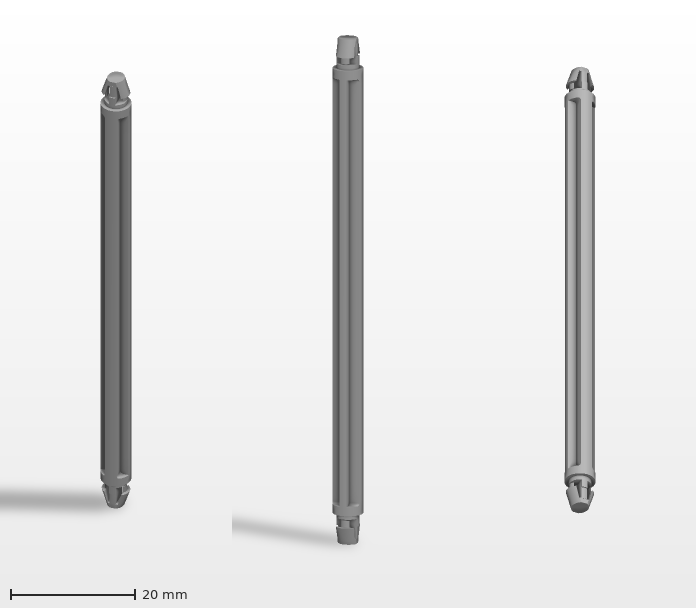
import cadquery as cq
import math

total_length = 84.0
body_length = 74.0
body_diameter = 5.0
head_length = (total_length - body_length) / 2

collar_length = 1.5
web_x_thickness = 1.2
web_y_thickness = 2.0
pocket_end_radius = 0.45

neck_diameter = 3.7
neck_length = 0.75
leg_gap = 0.25
barb_height = 2.1
barb_span = 4.7
arm_diameter = 3.7
tip_width = 3.1
arm_tilt = 18.0
tip_thickness = 0.85
leg_span = 3.7
leg_diameter = 1.7
post_thickness = 1.0
post_diameter = 3.25
slot_half_width = 1.45
slot_half_width_at_tip = 0.9


def cylinder(diameter, bottom, height):
    return cq.Workplane("XY").workplane(offset=bottom).circle(diameter / 2).extrude(height)


def block(x_size, y_size, bottom, height):
    return cq.Workplane("XY").workplane(offset=bottom).rect(x_size, y_size).extrude(height)


def corner_pocket(x_side, y_side):
    """Corner removed beside the webs; its ends are rounded into the web that reaches along Y."""
    size = body_diameter
    pocket_length = body_length - 2 * collar_length
    pocket = block(size, size, -pocket_length / 2, pocket_length)
    pocket = pocket.edges("|Y").fillet(pocket_end_radius)
    outer_part = block(size, size, -pocket_length / 2, pocket_length).translate((size / 2, 0, 0))
    pocket = pocket.union(outer_part)
    x_centre = (web_y_thickness + size) / 2
    y_centre = (web_x_thickness + size) / 2
    pocket = pocket.translate((x_centre, y_centre, 0))
    if x_side < 0:
        pocket = pocket.mirror("YZ")
    if y_side < 0:
        pocket = pocket.mirror("XZ")
    return pocket


def shaft():
    body = cylinder(body_diameter, -body_length / 2, body_length)
    for x_side in (-1, 1):
        for y_side in (-1, 1):
            body = body.cut(corner_pocket(x_side, y_side))
    return body


def tip_half(x_side):
    """Half of the tip with its barb: a round bar that leans outward on its way down."""
    tilt = math.radians(arm_tilt)
    height = head_length - barb_height
    barb_x = barb_span / 2 - arm_diameter / 2 / math.cos(tilt)
    bar = (
        cylinder(arm_diameter, -head_length, 2 * head_length)
        .rotate((0, 0, 0), (0, 1, 0), -x_side * arm_tilt)
        .translate((x_side * barb_x, 0, barb_height))
    )
    own_side = block(barb_span, tip_width, barb_height, height)
    return bar.intersect(own_side.translate((x_side * barb_span / 2, 0, 0)))


def legs():
    """Two slim legs that hang below the barbs and end just short of the neck."""
    bottom = neck_length + leg_gap
    centre_x = (leg_span - leg_diameter) / 2
    leg = cylinder(leg_diameter, bottom, barb_height - bottom)
    return leg.translate((centre_x, 0, 0)).union(leg.translate((-centre_x, 0, 0)))


def arm_slot():
    """Opening between the arms, closed at the top by the tip."""
    slot_top = head_length - tip_thickness
    return (
        cq.Workplane("XZ")
        .moveTo(-slot_half_width, 0)
        .lineTo(-slot_half_width, barb_height)
        .lineTo(-slot_half_width_at_tip, slot_top)
        .lineTo(slot_half_width_at_tip, slot_top)
        .lineTo(slot_half_width, barb_height)
        .lineTo(slot_half_width, 0)
        .close()
        .extrude(body_diameter / 2, both=True)
    )


def centre_post():
    """Flat post with rounded faces from the neck up to the tip, slimmer above the barbs."""
    post_height = head_length - tip_thickness
    lower = cylinder(neck_diameter, 0, barb_height)
    upper = cylinder(post_diameter, barb_height, post_height - barb_height)
    return lower.union(upper).intersect(block(post_thickness, neck_diameter, 0, post_height))


def snap_head():
    """Head standing on the XY plane, pointing up."""
    arms = tip_half(1).union(tip_half(-1)).union(legs()).cut(arm_slot())
    neck = cylinder(neck_diameter, 0, neck_length)
    return neck.union(centre_post()).union(arms)


top_head = snap_head().translate((0, 0, body_length / 2))
bottom_head = top_head.mirror("XY")
result = shaft().union(top_head).union(bottom_head)